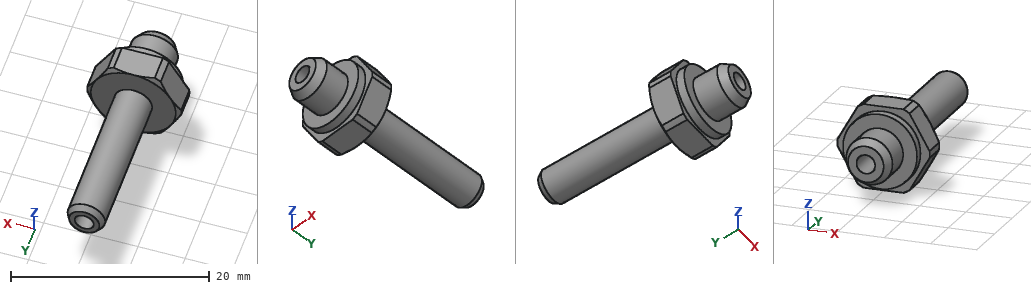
import cadquery as cq
import math

total_length = 24.2
bore_diameter = 2.0
spigot_diameter = 5.0
spigot_length = 4.0
spigot_chamfer_length = 1.0
spigot_chamfer_depth = 0.58
collar_diameter = 8.0
collar_length = 1.0
hex_across_flats = 9.0
hex_corner_diameter = 10.0
hex_length = 3.0
hex_chamfer_angle = 30.0
tube_diameter = 4.0
tube_chamfer_length = 0.68
tube_chamfer_depth = 0.39

spigot_end = -total_length / 2
collar_start = spigot_end + spigot_length
hex_start = collar_start + collar_length
hex_end = hex_start + hex_length
tube_end = total_length / 2


def revolve_profile(points):
    """Turn a closed (radius, y) outline about the Y axis."""
    return cq.Workplane("XY").polyline(points).close().revolve(360, (0, 0, 0), (0, 1, 0))


def make_turned_body():
    """Spigot, collar and tube as one stepped shaft."""
    spigot_radius = spigot_diameter / 2
    collar_radius = collar_diameter / 2
    tube_radius = tube_diameter / 2
    return revolve_profile([
        (0, spigot_end),
        (spigot_radius - spigot_chamfer_depth, spigot_end),
        (spigot_radius, spigot_end + spigot_chamfer_length),
        (spigot_radius, collar_start),
        (collar_radius, collar_start),
        (collar_radius, hex_start),
        (tube_radius, hex_start),
        (tube_radius, tube_end - tube_chamfer_length),
        (tube_radius - tube_chamfer_depth, tube_end),
        (0, tube_end),
    ])


def make_hexagon():
    """Hexagon with turned corners and a conical chamfer on its tube side."""
    sharp_corner_diameter = hex_across_flats / math.cos(math.radians(30))
    prism = (
        cq.Workplane("XZ", origin=(0, hex_end, 0))
        .polygon(6, sharp_corner_diameter)
        .extrude(hex_length)
    )
    flat_radius = hex_across_flats / 2
    corner_radius = hex_corner_diameter / 2
    chamfer_length = (corner_radius - flat_radius) * math.tan(math.radians(hex_chamfer_angle))
    turned_envelope = revolve_profile([
        (0, hex_start),
        (corner_radius, hex_start),
        (corner_radius, hex_end - chamfer_length),
        (flat_radius, hex_end),
        (0, hex_end),
    ])
    return prism.intersect(turned_envelope)


def make_bore():
    """Through hole along the whole axis."""
    return (
        cq.Workplane("XZ", origin=(0, tube_end, 0))
        .circle(bore_diameter / 2)
        .extrude(total_length)
    )


result = make_turned_body().union(make_hexagon()).cut(make_bore())